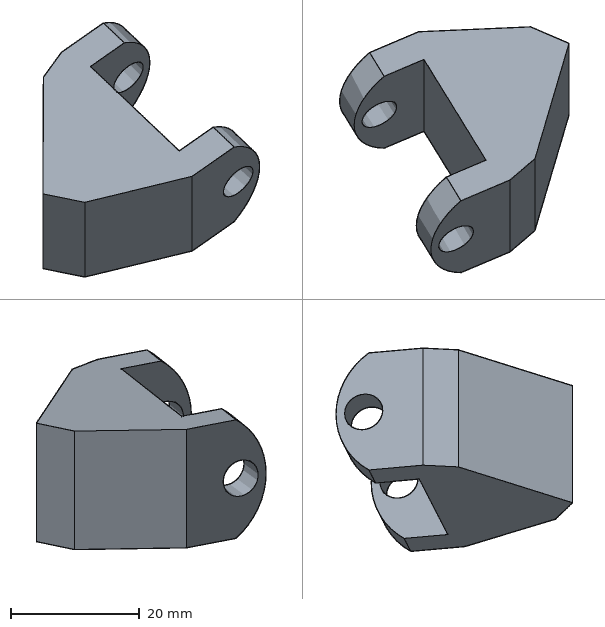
import cadquery as cq

width = 31.18
length = 33.6
height = 20.0

arm_thickness = 5.0
slot_floor_y = 21.45
arm_round_radius = 12.15
hole_diameter = 6.0
hole_to_arm_end = 4.4

shoulder_y = 19.8
left_corner = (1.78, 14.55)
tip_x = 18.6
right_corner = (24.1, 3.9)


def make_body():
    """Pointed block, centred on Z = 0, with its tip at Y = 0."""
    outline = [
        (0, length),
        (0, shoulder_y),
        left_corner,
        (tip_x, 0),
        right_corner,
        (width, shoulder_y),
        (width, length),
    ]
    return cq.Workplane("XY").polyline(outline).close().extrude(height / 2, both=True)


def make_slot():
    """Opening between the two arms."""
    slot_width = width - 2 * arm_thickness
    slot_depth = length - slot_floor_y
    return cq.Workplane("XY").box(slot_width, slot_depth, height, centered=(True, False, True)).translate(
        (width / 2, slot_floor_y, 0)
    )


def make_rounded_envelope():
    """Side profile swept across the width, with an arc rounding the arm ends."""
    half_height = height / 2
    arc_rise = arm_round_radius - (arm_round_radius**2 - half_height**2) ** 0.5
    arc_start_y = length - arc_rise
    return (
        cq.Workplane("YZ")
        .moveTo(0, -half_height)
        .lineTo(arc_start_y, -half_height)
        .threePointArc((length, 0), (arc_start_y, half_height))
        .lineTo(0, half_height)
        .close()
        .extrude(width)
    )


def make_pin_hole():
    """Pin hole running through both arms."""
    hole_y = length - hole_to_arm_end
    return cq.Workplane("YZ").center(hole_y, 0).circle(hole_diameter / 2).extrude(width)


result = make_body().intersect(make_rounded_envelope()).cut(make_slot()).cut(make_pin_hole())